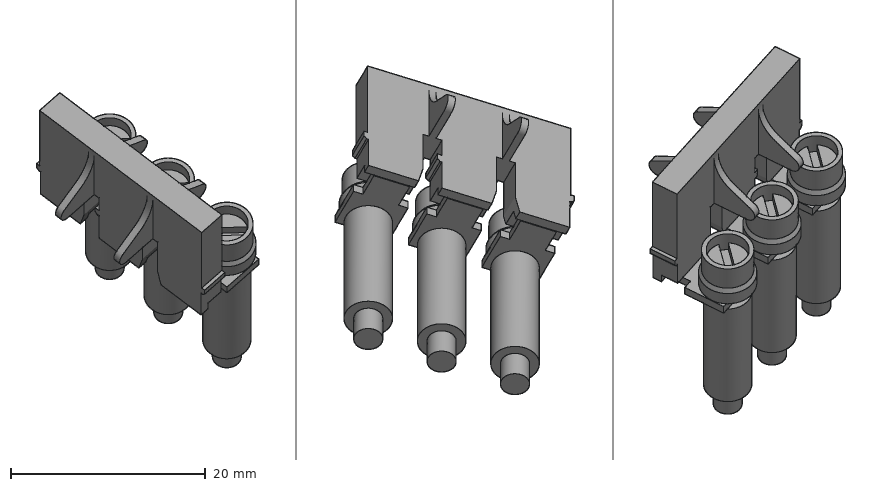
import cadquery as cq
import math


pole_pitch = 8.2
pole_xs = [-pole_pitch, 0, pole_pitch]
block_width = 6.1

plate_thickness = 3.05
plate_height = 14.65
plate_upper_half_width = 11.35
slot_top_z = -7.6
lug_top_z = -9.8
lug_height = 1.0
lug_chamfer = 0.3
lug_reach = 0.51
bevel_width = 0.5
bevel_height = 2.0
notch_height = 1.0
notch_depth = 2.0

plate_back_y = plate_thickness / 2
notch_front_y = plate_back_y - notch_depth
leg_half_width = block_width / 2

rib_thickness = 0.8
rib_half_span = 6.53
rib_tip_radius = 1.0
rib_root_radius = 4.0
rib_slope = math.radians(30)

tab_top_z = -13.75
tab_thickness = 1.0
tab_back_y = 7.22
tab_shoulder_y = 2.4
tab_neck_width = 4.0

screw_y = 5.67
head_top_z = -8.78
head_radius = 2.7
flange_cone_top_z = -11.7
flange_top_z = -12.2
flange_radius = 3.0
shank_radius = 1.5
sleeve_radius = 2.5
sleeve_top_z = -15.1
sleeve_bottom_z = -29.2
screw_bottom_z = -32.2
recess_radius = 2.2
recess_depth = 1.4
driver_slot_width = 1.0
driver_slot_depth = 1.0
driver_slot_angle = 45


def box(x_min, x_max, y_min, y_max, z_min, z_max):
    """Axis-aligned box given by its limits."""
    size = (x_max - x_min, y_max - y_min, z_max - z_min)
    return cq.Workplane("XY").box(*size, centered=False).translate((x_min, y_min, z_min))


def plate_prism(points):
    """Extrude an X-Z outline through the plate thickness."""
    return cq.Workplane("XZ").polyline(points).close().extrude(plate_thickness / 2, both=True)


def make_leg(pole_x):
    """Lower part of the plate at one pole, bevelled on each side that faces a slot and has no lug."""
    has_left_bevel = pole_x > 0
    has_right_bevel = pole_x <= 0
    left = pole_x - leg_half_width
    right = pole_x + leg_half_width
    bevel_top_z = bevel_height - plate_height
    leg = box(left, right, -plate_back_y, plate_back_y, -plate_height, slot_top_z)
    for side_x, inward, bevelled in [(left, 1, has_left_bevel), (right, -1, has_right_bevel)]:
        if bevelled:
            corner = plate_prism([
                (side_x, bevel_top_z),
                (side_x, -plate_height),
                (side_x + inward * bevel_width, -plate_height),
            ])
            leg = leg.cut(corner)
    return leg


def make_lug(side_x, outward):
    """Small catch on the side of a leg, chamfered on its lower outer edge."""
    tip_x = side_x + outward * lug_reach
    inner_x = side_x - outward * lug_reach
    bottom_z = lug_top_z - lug_height
    return plate_prism([
        (inner_x, lug_top_z),
        (tip_x, lug_top_z),
        (tip_x, bottom_z + lug_chamfer),
        (tip_x - outward * lug_chamfer, bottom_z),
        (inner_x, bottom_z),
    ])


def make_plate():
    """Plate with three legs, side lugs and the notch for the tabs."""
    outer_side = pole_pitch + leg_half_width
    plate = box(-plate_upper_half_width, plate_upper_half_width, -plate_back_y, plate_back_y, slot_top_z, 0)
    for side in (-1, 1):
        x_limits = sorted([side * plate_upper_half_width, side * pole_pitch])
        plate = plate.union(box(*x_limits, -plate_back_y, plate_back_y, lug_top_z, slot_top_z))
    for pole_x in pole_xs:
        plate = plate.union(make_leg(pole_x))
    for side_x, outward in [(-outer_side, -1), (-leg_half_width, -1), (outer_side, 1)]:
        plate = plate.union(make_lug(side_x, outward))
    notch = box(
        -plate_upper_half_width, plate_upper_half_width,
        notch_front_y, plate_back_y,
        -plate_height, notch_height - plate_height,
    )
    return plate.cut(notch)


def make_rib(rib_x):
    """Winged rib: concave root arc, straight slope and rounded tip on both faces of the plate."""
    sin_slope = math.sin(rib_slope)
    cos_slope = math.cos(rib_slope)
    bottom_z = slot_top_z
    tip_y = rib_half_span - rib_tip_radius
    tip_z = bottom_z + rib_tip_radius
    tip_start = (tip_y + rib_tip_radius * sin_slope, tip_z + rib_tip_radius * cos_slope)
    root_y = plate_back_y + rib_root_radius
    root_end_y = root_y - rib_root_radius * sin_slope
    root_end_z = tip_start[1] + (tip_start[0] - root_end_y) * math.tan(rib_slope)
    root_z = root_end_z + rib_root_radius * cos_slope
    half_sweep = (math.pi / 2 - rib_slope) / 2
    root_middle = (
        root_y - rib_root_radius * math.cos(half_sweep),
        root_z - rib_root_radius * math.sin(half_sweep),
    )
    wing = (
        cq.Workplane("YZ")
        .moveTo(0, root_z)
        .lineTo(plate_back_y, root_z)
        .threePointArc(root_middle, (root_end_y, root_end_z))
        .lineTo(*tip_start)
        .threePointArc((rib_half_span, tip_z), (tip_y, bottom_z))
        .lineTo(0, bottom_z)
        .close()
        .extrude(rib_thickness / 2, both=True)
    )
    return wing.union(wing.mirror("XZ")).translate((rib_x, 0, 0))


def make_tab(pole_x):
    """T-shaped metal tab clamped under the screw head, its neck seated in the plate notch."""
    bottom_z = tab_top_z - tab_thickness
    neck_half_width = tab_neck_width / 2
    wide = box(-leg_half_width, leg_half_width, tab_shoulder_y, tab_back_y, bottom_z, tab_top_z)
    neck = box(-neck_half_width, neck_half_width, notch_front_y, tab_shoulder_y, bottom_z, tab_top_z)
    return wide.union(neck).translate((pole_x, 0, 0))


def make_screw(pole_x):
    """Slotted cylindrical screw with a flange under its head and a sleeve on its shank."""
    recess_floor_z = head_top_z - recess_depth
    screw = (
        cq.Workplane("XZ")
        .moveTo(0, recess_floor_z)
        .lineTo(recess_radius, recess_floor_z)
        .lineTo(recess_radius, head_top_z)
        .lineTo(head_radius, head_top_z)
        .lineTo(head_radius, flange_cone_top_z)
        .lineTo(flange_radius, flange_top_z)
        .lineTo(flange_radius, tab_top_z)
        .lineTo(shank_radius, tab_top_z)
        .lineTo(shank_radius, sleeve_top_z)
        .lineTo(sleeve_radius, sleeve_top_z)
        .lineTo(sleeve_radius, sleeve_bottom_z)
        .lineTo(shank_radius, sleeve_bottom_z)
        .lineTo(shank_radius, screw_bottom_z)
        .lineTo(0, screw_bottom_z)
        .close()
        .revolve(360, (0, 0, 0), (0, 1, 0))
    )
    driver_slot = (
        cq.Workplane("XY")
        .workplane(offset=recess_floor_z)
        .circle(recess_radius)
        .extrude(-driver_slot_depth)
        .intersect(
            cq.Workplane("XY")
            .workplane(offset=recess_floor_z)
            .rect(2 * head_radius, driver_slot_width)
            .extrude(-driver_slot_depth)
            .rotate((0, 0, 0), (0, 0, 1), driver_slot_angle)
        )
    )
    return screw.cut(driver_slot).translate((pole_x, screw_y, 0))


result = make_plate()
for rib_x in (-pole_pitch / 2, pole_pitch / 2):
    result = result.union(make_rib(rib_x))
for pole_x in pole_xs:
    result = result.union(make_tab(pole_x))
    result = result.union(make_screw(pole_x))